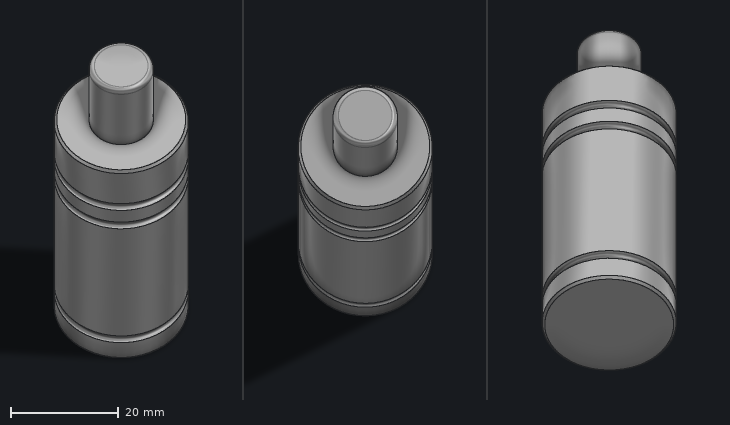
import cadquery as cq

body_diameter = 25.0
body_height = 56.0
body_chamfer = 0.5

rod_diameter = 12.0
total_height = 72.0
rod_edge_radius = 1.0

groove_radius = 1.0
groove_heights = (6.0, 40.0, 45.5)


def make_body():
    """Cylinder with both rims chamfered, standing on the XY plane."""
    body = cq.Workplane("XY").circle(body_diameter / 2).extrude(body_height)
    return body.faces("<Z or >Z").edges().chamfer(body_chamfer)


def make_rod():
    """Rod rising from the top of the body, with a rounded upper rim."""
    rod_length = total_height - body_height
    rod = cq.Workplane("XY").workplane(offset=body_height)
    rod = rod.circle(rod_diameter / 2).extrude(rod_length)
    return rod.faces(">Z").edges().fillet(rod_edge_radius)


def make_groove_cutter(height):
    """Ring of round section that cuts one groove at the given height."""
    ring = cq.Solid.makeTorus(body_diameter / 2, groove_radius, cq.Vector(0, 0, height))
    return cq.Workplane("XY").add(ring)


result = make_body().union(make_rod())
for groove_height in groove_heights:
    result = result.cut(make_groove_cutter(groove_height))